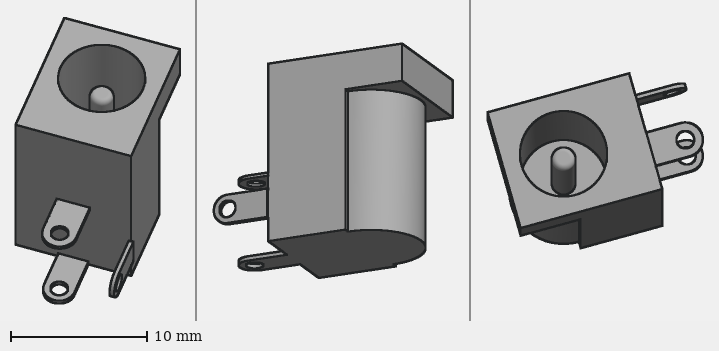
import cadquery as cq

body_width = 9.0
body_height = 13.8
back_to_axis = 4.53
total_depth = 15.1
tab_length = 4.3
flange_height = 2.9
barrel_radius = 4.0
lower_block_setback = 0.05

socket_diameter = 6.4
socket_depth = 10.87
pin_diameter = 1.78
pin_recess = 1.7
pin_tip_fillet = 0.41

tab_hole_diameter = 1.3
upper_tab_width = 2.58
upper_tab_thickness = 0.25
upper_tab_bottom = 6.33
lower_tab_width = 2.35
lower_tab_thickness = 0.35
side_tab_width = 2.2
side_tab_thickness = 0.36
side_tab_overhang = 0.18
side_tab_center_z = 2.93

front_y = back_to_axis + tab_length - total_depth
tab_tip_y = front_y - tab_length
flange_bottom = body_height - flange_height
socket_floor = body_height - socket_depth


def block(back_y, bottom_z, top_z):
    """Full-width block reaching from the front face to back_y."""
    return (
        cq.Workplane("XY")
        .box(body_width, back_y - front_y, top_z - bottom_z, centered=(True, False, False))
        .translate((0, front_y, bottom_z))
    )


def make_housing():
    """Square flange on a front block and a round barrel, bored from above."""
    flange = block(back_to_axis, flange_bottom, body_height)
    lower_block = block(-lower_block_setback, 0, flange_bottom)
    barrel = cq.Workplane("XY").circle(barrel_radius).extrude(flange_bottom)
    socket = (
        cq.Workplane("XY")
        .workplane(offset=socket_floor)
        .circle(socket_diameter / 2)
        .extrude(socket_depth)
    )
    return flange.union(lower_block).union(barrel).cut(socket)


def make_pin():
    """Contact pin with a rounded tip, standing on the housing's bottom wall."""
    return (
        cq.Workplane("XY")
        .circle(pin_diameter / 2)
        .extrude(body_height - pin_recess)
        .faces(">Z")
        .edges()
        .fillet(pin_tip_fillet)
    )


def make_tab(width, thickness):
    """Flat tab from the front face to a round tip, with a hole centred on the tip arc."""
    half_width = width / 2
    tip_center_y = tab_tip_y + half_width
    hole = (
        cq.Workplane("XY")
        .center(0, tip_center_y)
        .circle(tab_hole_diameter / 2)
        .extrude(thickness)
    )
    return (
        cq.Workplane("XY")
        .moveTo(-half_width, front_y)
        .lineTo(-half_width, tip_center_y)
        .threePointArc((0, tab_tip_y), (half_width, tip_center_y))
        .lineTo(half_width, front_y)
        .close()
        .extrude(thickness)
        .cut(hole)
    )


upper_tab = make_tab(upper_tab_width, upper_tab_thickness).translate((0, 0, upper_tab_bottom))
lower_tab = make_tab(lower_tab_width, lower_tab_thickness)

side_tab_inner_x = body_width / 2 + side_tab_overhang - side_tab_thickness
side_tab = (
    make_tab(side_tab_width, side_tab_thickness)
    .rotate((0, 0, 0), (0, 1, 0), 90)
    .translate((side_tab_inner_x, 0, side_tab_center_z))
)

result = make_housing().union(make_pin())
for tab in (upper_tab, lower_tab, side_tab):
    result = result.union(tab)